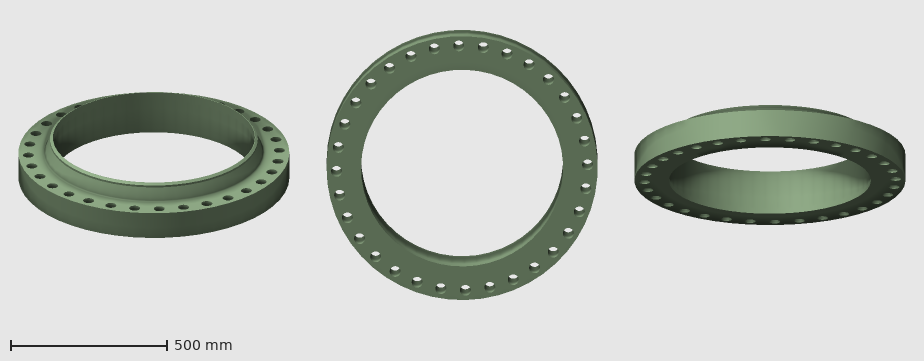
import math
import cadquery as cq

flange_diameter = 867.0
flange_thickness = 88.4
bore_diameter = 646.1

overall_height = 143.0
hub_base_diameter = 702.0
neck_diameter = 665.2
neck_length = 12.8
hub_fillet_radius = 6.0

weld_land = 1.6
bevel_slope = 37.5

bolt_count = 32
bolt_circle_diameter = 803.1
bolt_hole_diameter = 35.0


def flange_body():
    """Revolve the ring and its tapered neck about Z, then round the hub root."""
    bore_radius = bore_diameter / 2
    neck_radius = neck_diameter / 2
    land_radius = bore_radius + weld_land
    bevel_height = (neck_radius - land_radius) * math.tan(math.radians(bevel_slope))
    hub_base_radius = hub_base_diameter / 2

    body = (
        cq.Workplane("XZ")
        .moveTo(bore_radius, 0)
        .lineTo(flange_diameter / 2, 0)
        .lineTo(flange_diameter / 2, flange_thickness)
        .lineTo(hub_base_radius, flange_thickness)
        .lineTo(neck_radius, overall_height - neck_length)
        .lineTo(neck_radius, overall_height - bevel_height)
        .lineTo(land_radius, overall_height)
        .lineTo(bore_radius, overall_height)
        .close()
        .revolve(360, (0, 0, 0), (0, 1, 0))
    )
    hub_root = cq.selectors.RadiusNthSelector(-2)
    return body.edges("%CIRCLE").edges(hub_root).fillet(hub_fillet_radius)


def bolt_holes():
    """Ring of through-hole cutters, the first one on the +X axis."""
    return (
        cq.Workplane("XY")
        .polarArray(bolt_circle_diameter / 2, 0, 360, bolt_count)
        .circle(bolt_hole_diameter / 2)
        .extrude(flange_thickness)
    )


result = flange_body().cut(bolt_holes())